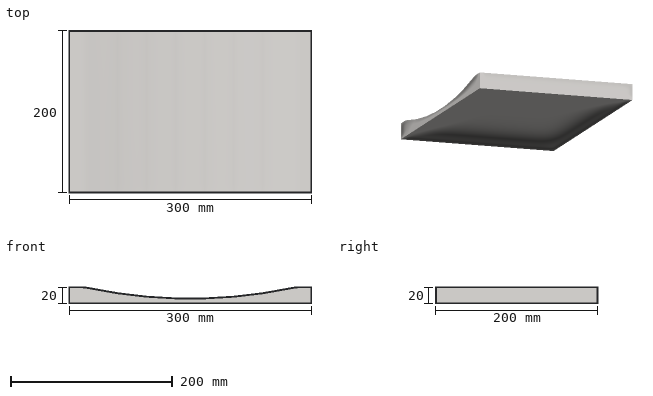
import cadquery as cq
import math

length = 300.0
width = 200.0
height = 20.0

floor_thickness = 6.0
rim_width = 13.8
blend_radius = 54.0

depth = height - floor_thickness
rim_x = length / 2 - rim_width
radius_sum = (rim_x**2 + depth**2) / (2 * depth)
trough_radius = radius_sum - blend_radius
slope = math.asin(rim_x / radius_sum)


def trough_point(angle):
    """Point on the trough, at an angle from its lowest line."""
    x = trough_radius * math.sin(angle)
    z = floor_thickness + trough_radius * (1 - math.cos(angle))
    return (x, z)


def shoulder_middle(side):
    """Middle of the convex shoulder arc; side is -1 or 1."""
    x = side * (rim_x - blend_radius * math.sin(slope / 2))
    z = height - blend_radius * (1 - math.cos(slope / 2))
    return (x, z)


profile = (
    cq.Workplane("XZ")
    .moveTo(-length / 2, 0)
    .lineTo(length / 2, 0)
    .lineTo(length / 2, height)
    .lineTo(rim_x, height)
    .threePointArc(shoulder_middle(1), trough_point(slope))
    .threePointArc((0, floor_thickness), trough_point(-slope))
    .threePointArc(shoulder_middle(-1), (-rim_x, height))
    .lineTo(-length / 2, height)
    .close()
)

result = profile.extrude(width / 2, both=True)